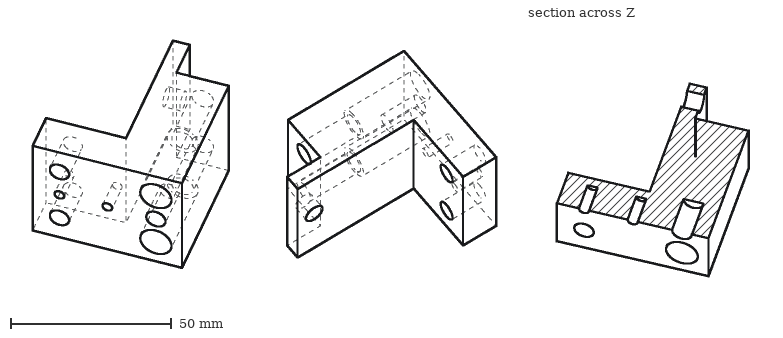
import cadquery as cq

width = 49.2
height = 38.1
plate_thickness = 12.7
body_depth = 44.45
tab_length = 12.7
total_depth = body_depth + tab_length
body_left = 26.34
tab_thickness = 5.6
tab_right = body_left + tab_thickness
mid_height = height / 2

left_column = 8.83
column_spacing = 31.75
right_column = left_column + column_spacing
middle_column = width / 2
row_offset = 10.31
upper_and_lower_rows = (mid_height - row_offset, mid_height + row_offset)
plate_hole_diameter = 6.35
bolt_hole_diameter = 7.14
counterbore_diameter = 10.3
counterbore_depth = 25.4
dowel_hole_diameter = 6.35
dowel_hole_depth = 12.7
pin_hole_diameter = 3.175
pin_hole_depth = 9.5

tab_hole_diameter = 6.35
tab_hole_y = (body_depth + total_depth) / 2


def front_hole(x, z, diameter, depth):
    """Cylinder entering the front face (y = 0) and running along +Y."""
    center = cq.Vector(x, 0, z)
    return cq.Workplane(cq.Solid.makeCylinder(diameter / 2, depth, center, cq.Vector(0, 1, 0)))


def make_block():
    """Stepped outline of the plate, body and tab, extruded to full height."""
    outline = [
        (0, 0),
        (width, 0),
        (width, body_depth),
        (tab_right, body_depth),
        (tab_right, total_depth),
        (body_left, total_depth),
        (body_left, plate_thickness),
        (0, plate_thickness),
    ]
    return cq.Workplane("XY").polyline(outline).close().extrude(height)


def cut_through_holes(block):
    """Plain holes through the plate and counterbored holes through the body."""
    for z in upper_and_lower_rows:
        block = block.cut(front_hole(left_column, z, plate_hole_diameter, plate_thickness))
        block = block.cut(front_hole(right_column, z, bolt_hole_diameter, body_depth))
        block = block.cut(front_hole(right_column, z, counterbore_diameter, counterbore_depth))
    return block


def cut_blind_holes(block):
    """Flat-bottomed dowel hole and two pin holes at mid height."""
    block = block.cut(front_hole(right_column, mid_height, dowel_hole_diameter, dowel_hole_depth))
    for x in (left_column, middle_column):
        block = block.cut(front_hole(x, mid_height, pin_hole_diameter, pin_hole_depth))
    return block


def cut_tab_hole(block):
    """Hole through the middle of the tab, running along +X."""
    start = cq.Vector(body_left, tab_hole_y, mid_height)
    direction = cq.Vector(1, 0, 0)
    tab_hole = cq.Solid.makeCylinder(tab_hole_diameter / 2, tab_thickness, start, direction)
    return block.cut(cq.Workplane(tab_hole))


result = make_block()
result = cut_through_holes(result)
result = cut_blind_holes(result)
result = cut_tab_hole(result)